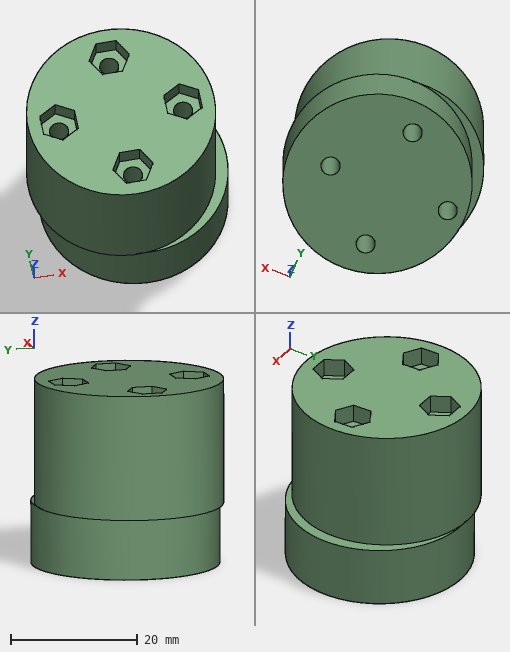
import cadquery as cq
import math

body_diameter = 30.0
upper_height = 20.0
lower_height = 10.0
lower_offset_x = 2.0
total_height = lower_height + upper_height

bolt_count = 4
bolt_circle_radius = 10.0
bolt_hole_diameter = 3.0
nut_sides = 6
nut_across_flats = 5.6
nut_across_corners = nut_across_flats / math.cos(math.pi / nut_sides)
nut_pocket_depth = 3.0


def make_body():
    """Lower disc with the upper disc standing on it off-centre."""
    lower = (
        cq.Workplane("XY")
        .center(lower_offset_x, 0)
        .circle(body_diameter / 2)
        .extrude(lower_height)
    )
    upper = (
        cq.Workplane("XY", origin=(0, 0, lower_height))
        .circle(body_diameter / 2)
        .extrude(upper_height)
    )
    return lower.union(upper)


def make_bolt_cutter(angle):
    """Through hole and nut pocket, with two pocket flats facing the disc axis."""
    hole = cq.Workplane("XY").circle(bolt_hole_diameter / 2).extrude(total_height)
    pocket = (
        cq.Workplane("XY", origin=(0, 0, total_height - nut_pocket_depth))
        .polygon(nut_sides, nut_across_corners)
        .extrude(nut_pocket_depth)
    )
    cutter = hole.union(pocket).translate((0, bolt_circle_radius, 0))
    return cutter.rotate((0, 0, 0), (0, 0, 1), angle)


result = make_body()
for index in range(bolt_count):
    result = result.cut(make_bolt_cutter(index * 360 / bolt_count))